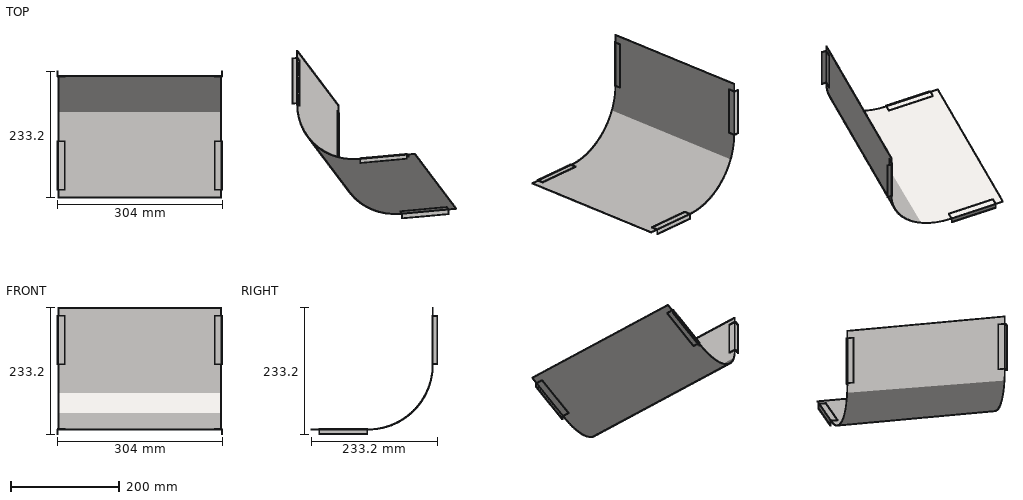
import cadquery as cq
import math

panel_width = 300.0
panel_thickness = 0.75
leg_length = 105.0
panel_outside_reach = 225.0
panel_outer_radius = panel_outside_reach - leg_length
panel_inner_radius = panel_outer_radius - panel_thickness

bracket_thickness = 1.0
bracket_inner_bend = 1.0
bracket_outer_bend = bracket_inner_bend + bracket_thickness
bracket_length = 89.0
bracket_width = 14.0
bracket_depth = 10.0
bracket_end_gap = 1.0
bracket_side = panel_width / 2 + bracket_outer_bend



def make_panel():
    """Constant-thickness sheet, drawn in the YZ plane and extruded along X."""
    diagonal = math.sqrt(0.5)
    outer_middle = panel_outer_radius * diagonal
    inner_middle = panel_inner_radius * diagonal
    return (
        cq.Workplane("YZ")
        .moveTo(-leg_length, -panel_outer_radius)
        .lineTo(0, -panel_outer_radius)
        .threePointArc((outer_middle, -outer_middle), (panel_outer_radius, 0))
        .lineTo(panel_outer_radius, leg_length)
        .lineTo(panel_inner_radius, leg_length)
        .lineTo(panel_inner_radius, 0)
        .threePointArc((inner_middle, -inner_middle), (0, -panel_inner_radius))
        .lineTo(-leg_length, -panel_inner_radius)
        .close()
        .extrude(panel_width / 2, both=True)
    )


def make_upright_bracket():
    """Bracket on the inner face of the upright leg, at the +X edge."""
    front = panel_inner_radius - bracket_thickness
    back = front + bracket_depth
    bend_end = front + bracket_outer_bend
    bend_start = bracket_side - bracket_outer_bend
    inner_edge = bracket_side - bracket_width
    return (
        cq.Workplane("XY", origin=(0, 0, bracket_end_gap))
        .moveTo(inner_edge, front)
        .lineTo(bend_start, front)
        .radiusArc((bracket_side, bend_end), -bracket_outer_bend)
        .lineTo(bracket_side, back)
        .lineTo(bracket_side - bracket_thickness, back)
        .lineTo(bracket_side - bracket_thickness, bend_end)
        .radiusArc((bend_start, panel_inner_radius), bracket_inner_bend)
        .lineTo(inner_edge, panel_inner_radius)
        .close()
        .extrude(bracket_length)
    )


def make_brackets():
    """One bracket at each side edge of each leg."""
    brackets = []
    for on_upright in (True, False):
        for on_right in (True, False):
            bracket = make_upright_bracket()
            if not on_right:
                bracket = bracket.mirror("YZ")
            if not on_upright:
                bracket = bracket.mirror("XY").rotate((0, 0, 0), (1, 0, 0), -90)
            brackets.append(bracket)
    return brackets


panel = make_panel()
brackets = make_brackets()

result = cq.Compound.makeCompound([panel.val(), *[bracket.val() for bracket in brackets]])